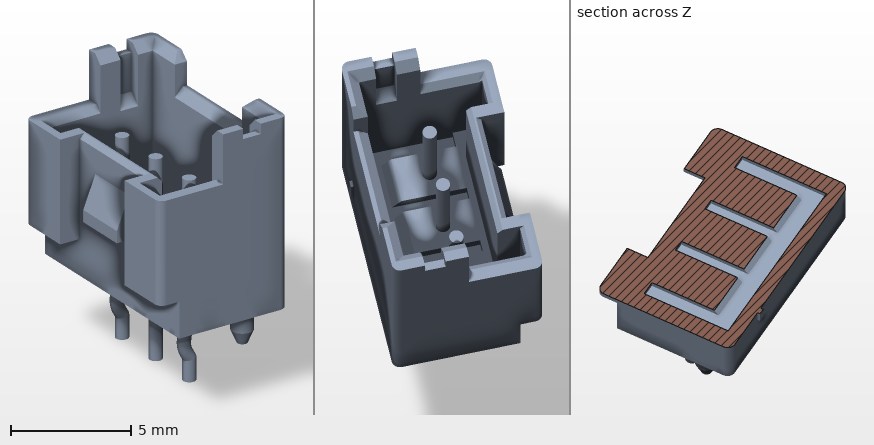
import cadquery as cq
import math


overall_height = 12.2

width = 10.0
half_width = width / 2
back_y = 3.25
tower_front_y = -3.16
base_front_y = -2.17
rear_front_y = 0.02
rear_top_z = 8.8
shoulder_z = 6.5
tower_bottom_z = 1.7
corner_radius = 0.35
tower_gap_half = 2.4

cavity_half_width = 4.15
cavity_back_y = 2.64
cavity_front_y = -2.61
floor_z = tower_bottom_z
front_wall_half_width = 2.94
front_wall_inner_y = -1.65
front_wall_chamfer = 0.22
rear_chamfer = 0.4
side_chamfer = 0.3
tower_chamfer = 0.17

window_half_width = 2.5
window_z = 7.3

notch_y = (1.02, 1.9)
notch_z = 8.32
groove_half_width = 4.64
groove_bottom_z = 6.04

raised_step = 0.4
raised_back_y = -1.35
finger_width = 2.0
finger_back_y = 1.83

latch_width = 2.5
latch_front_y = -2.78
latch_bottom_z = 3.07
latch_edge_z = 3.64
latch_top_z = 5.12

mark_x = 2.59
mark_width = 0.29
mark_bottom_z = 1.43
mark_top_z = 2.43
mark_height = 0.12

pitch = 2.5
pin_diameter = 0.6
pin_radius = pin_diameter / 2
pin_top_z = 5.85
pin_bottom_z = rear_top_z - overall_height

kink_start_z = 0.37
kink_turn_z = -1.51
lean_angle = 7.8
return_angle = 30.0
kink_radius = 0.98

peg_x = 4.09
peg_y = 1.59
peg_diameter = 1.0
peg_radius = peg_diameter / 2
peg_tip_radius = 0.23
peg_shoulder_z = -0.88
peg_tip_z = -1.49


def block(x, y, z):
    """Box spanning the given (low, high) pairs."""
    size = [high - low for low, high in (x, y, z)]
    return cq.Workplane("XY").box(*size, centered=False).translate((x[0], y[0], z[0]))


def bar_along_x(points, half_length):
    """Prism with a (y, z) outline, centred on x = 0."""
    return cq.Workplane("YZ").polyline(points).close().extrude(half_length, both=True)


def bar_along_y(points, y):
    """Prism with an (x, z) outline between two y values."""
    prism = cq.Workplane("XZ").polyline(points).close().extrude(y[0] - y[1])
    return prism.translate((0, y[0], 0))


def funnel(half_x, y, top_z, depth):
    """Rectangular mouth narrowing downwards at 45 degrees."""
    mouth = cq.Workplane("XY", origin=(0, (y[0] + y[1]) / 2, top_z))
    return mouth.rect(2 * half_x, y[1] - y[0]).extrude(-depth, taper=45)


def make_shell():
    side_outline = [
        (back_y, 0),
        (back_y, rear_top_z),
        (rear_front_y, rear_top_z),
        (rear_front_y, shoulder_z),
        (tower_front_y, shoulder_z),
        (tower_front_y, tower_bottom_z),
        (base_front_y, tower_bottom_z),
        (base_front_y, 0),
    ]
    shell = bar_along_x(side_outline, half_width)
    shell = shell.edges("|Z and (>Y or <Y)").fillet(corner_radius)
    tower_gap = block(
        (-tower_gap_half, tower_gap_half),
        (tower_front_y, base_front_y),
        (tower_bottom_z, shoulder_z),
    )
    return shell.cut(tower_gap)


def make_cavity():
    cavity = block(
        (-cavity_half_width, cavity_half_width),
        (cavity_front_y, cavity_back_y),
        (floor_z, rear_top_z),
    )
    rear_mouth = funnel(
        cavity_half_width + rear_chamfer,
        (2 * tower_front_y, cavity_back_y + rear_chamfer),
        rear_top_z,
        rear_chamfer,
    )
    front_mouth = funnel(
        cavity_half_width + side_chamfer,
        (cavity_front_y - tower_chamfer, cavity_back_y),
        shoulder_z,
        side_chamfer,
    )
    ahead_of_rear = block(
        (-half_width, half_width), (tower_front_y, rear_front_y), (0, shoulder_z)
    )
    front_wall = block(
        (-front_wall_half_width, front_wall_half_width),
        (tower_front_y, front_wall_inner_y),
        (0, shoulder_z),
    )
    cavity = cavity.union(front_mouth.intersect(ahead_of_rear)).cut(front_wall)
    return cavity.union(rear_mouth)


def make_front_wall_chamfers():
    low_z = shoulder_z - front_wall_chamfer
    chamfers = cq.Workplane("XY")
    for face_y, inward, half_length in (
        (front_wall_inner_y, -1, front_wall_half_width),
        (base_front_y, 1, tower_gap_half),
    ):
        outline = [
            (face_y, low_z),
            (face_y, shoulder_z),
            (face_y + inward * front_wall_chamfer, shoulder_z),
        ]
        chamfers = chamfers.add(bar_along_x(outline, half_length))
    return chamfers.combine()


def make_back_window():
    opening_outline = [
        (-window_half_width, window_z),
        (window_half_width, window_z),
        (window_half_width, rear_top_z - rear_chamfer),
        (window_half_width + rear_chamfer, rear_top_z),
        (-window_half_width - rear_chamfer, rear_top_z),
        (-window_half_width, rear_top_z - rear_chamfer),
    ]
    opening = bar_along_y(opening_outline, (cavity_back_y, back_y))
    sill_chamfer = bar_along_x(
        [
            (cavity_back_y, window_z - rear_chamfer),
            (cavity_back_y + rear_chamfer, window_z),
            (cavity_back_y, window_z),
        ],
        window_half_width,
    )
    return opening.union(sill_chamfer)


def make_side_notches():
    notches = block((-half_width, half_width), notch_y, (notch_z, rear_top_z))
    ramp_rise = groove_half_width - cavity_half_width
    grooves_outline = [
        (-cavity_half_width, groove_bottom_z),
        (cavity_half_width, groove_bottom_z),
        (groove_half_width, groove_bottom_z + ramp_rise),
        (groove_half_width, rear_top_z),
        (-groove_half_width, rear_top_z),
        (-groove_half_width, groove_bottom_z + ramp_rise),
    ]
    return notches.union(bar_along_y(grooves_outline, notch_y))


def make_raised_floor():
    top_z = floor_z + raised_step
    raised = block(
        (-cavity_half_width, cavity_half_width),
        (front_wall_inner_y, raised_back_y),
        (floor_z, top_z),
    )
    for low_x, high_x in (
        (-cavity_half_width, -front_wall_half_width),
        (front_wall_half_width, cavity_half_width),
    ):
        corner = block((low_x, high_x), (cavity_front_y, raised_back_y), (floor_z, top_z))
        raised = raised.union(corner)
    finger_outline = [
        (raised_back_y, floor_z),
        (finger_back_y, floor_z),
        (finger_back_y - raised_step, top_z),
        (raised_back_y, top_z),
    ]
    finger = bar_along_x(finger_outline, finger_width / 2)
    for x in (-pitch, 0, pitch):
        raised = raised.union(finger.translate((x, 0, 0)))
    return raised


def make_latch():
    outline = [
        (base_front_y, latch_bottom_z),
        (latch_front_y, latch_bottom_z),
        (latch_front_y, latch_edge_z),
        (base_front_y, latch_top_z),
    ]
    return bar_along_x(outline, latch_width / 2)


def make_mark():
    return block(
        (mark_x - mark_width / 2, mark_x + mark_width / 2),
        (back_y, back_y + mark_height),
        (mark_bottom_z, mark_top_z),
    )


def pin_length(low_z, high_z):
    pin = cq.Workplane("XY", origin=(0, 0, low_z)).circle(pin_radius)
    return pin.extrude(high_z - low_z)


def make_kinked_pin():
    """Pin that leans forward, turns on an arc and comes back to its own axis."""
    lean = math.radians(lean_angle)
    back = math.radians(return_angle)
    turn_y = -(kink_start_z - kink_turn_z) * math.tan(lean)

    centre_y = turn_y + kink_radius * math.cos(lean)
    centre_z = kink_turn_z - kink_radius * math.sin(lean)

    def arc_point(angle):
        return (
            centre_y - kink_radius * math.cos(angle),
            centre_z - kink_radius * math.sin(angle),
        )

    arc_end_y, arc_end_z = arc_point(back)
    kink_end_z = arc_end_z + arc_end_y / math.tan(back)
    path = (
        cq.Workplane("YZ")
        .moveTo(0, kink_start_z)
        .lineTo(turn_y, kink_turn_z)
        .threePointArc(arc_point((back - lean) / 2), (arc_end_y, arc_end_z))
        .lineTo(0, kink_end_z)
    )
    start = cq.Plane(
        origin=(0, 0, kink_start_z),
        xDir=(1, 0, 0),
        normal=(0, -math.sin(lean), -math.cos(lean)),
    )
    pin = cq.Workplane(start).circle(pin_radius).sweep(path)
    joint = cq.Workplane("XY").sphere(pin_radius)
    for joint_z in (kink_start_z, kink_end_z):
        pin = pin.union(joint.translate((0, 0, joint_z)))
    pin = pin.union(pin_length(kink_start_z, pin_top_z))
    return pin.union(pin_length(pin_bottom_z, kink_end_z))


def make_peg():
    outline = [
        (0, 0),
        (peg_radius, 0),
        (peg_radius, peg_shoulder_z),
        (peg_tip_radius, peg_tip_z),
        (0, peg_tip_z),
    ]
    peg = cq.Workplane("XZ").polyline(outline).close().revolve(360, (0, 0), (0, 1))
    return peg.translate((peg_x, peg_y, 0))


housing = make_shell().cut(make_cavity())
housing = housing.cut(make_front_wall_chamfers())
housing = housing.cut(make_back_window())
housing = housing.cut(make_side_notches())
housing = housing.union(make_raised_floor())
housing = housing.union(make_latch())
housing = housing.union(make_mark())

result = housing.union(make_peg()).union(pin_length(pin_bottom_z, pin_top_z))
kinked_pin = make_kinked_pin()
for pin_x in (-pitch, pitch):
    result = result.union(kinked_pin.translate((pin_x, 0, 0)))